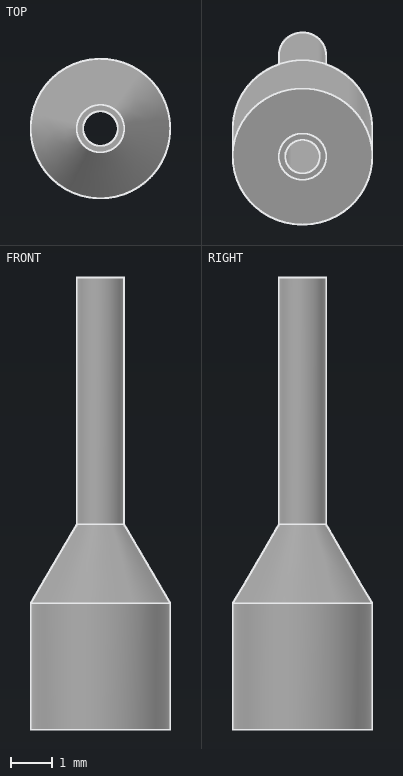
import cadquery as cq

total_length = 11.0
sleeve_diameter = 3.4
tube_diameter = 1.15
bore_diameter = 0.84

collar_height = 3.08
sleeve_height = 4.99

sleeve_radius = sleeve_diameter / 2
tube_radius = tube_diameter / 2
bore_radius = bore_diameter / 2


def make_tube():
    """Straight tube, open at both ends, running the full length."""
    return cq.Workplane("XY").circle(tube_radius).circle(bore_radius).extrude(total_length)


def make_sleeve():
    """Cylindrical collar that tapers to the tube surface, with a hole that fits the tube."""
    half_section = (
        cq.Workplane("XZ")
        .moveTo(tube_radius, 0)
        .lineTo(sleeve_radius, 0)
        .lineTo(sleeve_radius, collar_height)
        .lineTo(tube_radius, sleeve_height)
        .close()
    )
    return half_section.revolve(360, (0, 0, 0), (0, 1, 0))


tube = make_tube()
sleeve = make_sleeve()

result = cq.Compound.makeCompound([tube.val(), sleeve.val()])